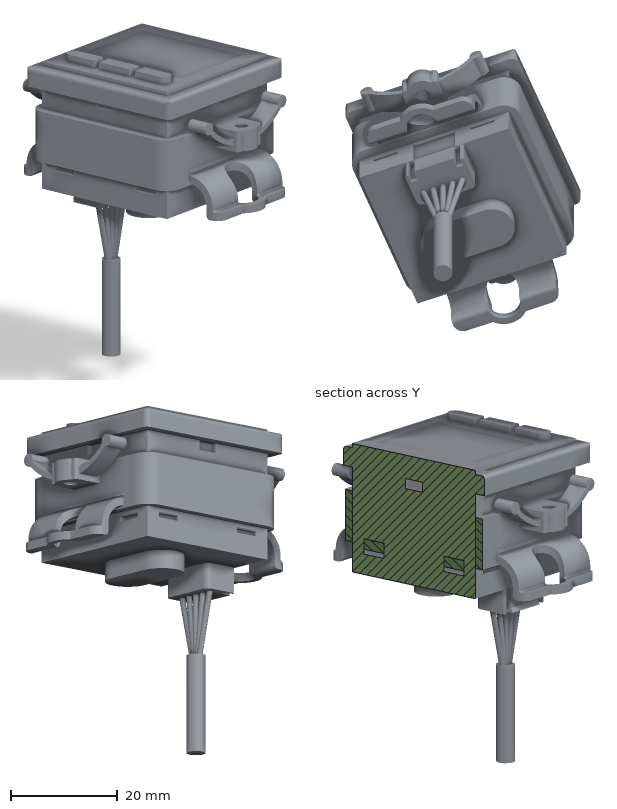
import cadquery as cq
import math


case_side = 30.0
case_bottom_z = -20.4
bezel_side = 34.5
bezel_height = 3.85
bezel_corner_radius = 1.1
bezel_top_radius = 0.85
plate_top_z = 4.65
window_length = 23.9
window_width = 18.2
window_center_y = 2.26
window_depth = 0.1
button_top_z = 6.1
button_length = 7.2
button_width = 2.9
button_pitch = 8.56
button_row_y = -10.68
bezel_notch_width = 4.0
bezel_notch_height = 1.85
notch_depth = 1.0
relief_width = 8.4
relief_depth = 0.55
relief_top_z = -15.35
port_length = 18.2
port_width = 8.5
port_height = 3.5
port_center_x = 2.45

ring_side = 33.7
ring_corner_radius = 3.35
ring_top_z = -4.53
ring_bottom_z = -14.5
ring_face = ring_side / 2
hook_width = 4.8
hook_offset = 9.77
hook_height = 1.0
hook_chamfer = 0.2
hook_recess_height = 1.85
hook_root_height = 1.0
hook_root_z = ring_bottom_z + hook_root_height

overall_length = 50.8
ear_center_x = 20.9
ear_radius = 3.07
ear_hole_diameter = 2.6
ear_width = 7.1
ear_block_end_x = 22.9
ear_corner_radius = 0.6
ear_height = 4.07

leaf_inner_radius = 14.0
leaf_thickness = 1.0
leaf_center_z = 7.1
leaf_near_x = 17.8
leaf_far_x = 21.9
leaf_tip_y = 11.0
root_overlap = 0.9
leaf_tip_radius = 1.2
leaf_root_y = 4.2
leaf_root_top_z = -6.15

foot_width = 21.0
foot_corner_radius = 2.0
foot_end_x = 23.95
foot_thickness = 1.6
bend_outer_radius = 5.5
bend_inner_radius = 4.0
bend_top_z = -12.6
foot_heel_radius = 0.8
foot_crease_radius = 0.4
foot_slot_radius = 3.17
rib_thickness = 0.25
rib_top_z = -11.6
rib_height = 0.45

connector_near_x = -14.95
connector_far_x = -7.98
connector_width = 11.7
connector_height = 4.9
connector_corner_chamfer = 0.25
connector_back_radius = 1.1
latch_width = 7.95
latch_slot_width = 1.2
latch_slot_depth = 1.6
latch_lip_height = 0.85
latch_lip_reach = 0.47
connector_bottom_z = case_bottom_z - connector_height

cable_x = -10.38
wire_count = 5
wire_diameter = 1.1
wire_pitch_at_plug = 1.95
wire_pitch_at_sheath = 0.53
sheath_diameter = 3.55
sheath_top_z = -36.95
sheath_bottom_z = -55.76


def block(x_range, y_range, z_range):
    """Box that fills the given X, Y and Z ranges."""
    size = [high - low for low, high in (x_range, y_range, z_range)]
    corner = (x_range[0], y_range[0], z_range[0])
    return cq.Workplane("XY").box(*size, centered=False).translate(corner)


def square_prism(side, bottom_z, top_z):
    return cq.Workplane("XY").workplane(offset=bottom_z).rect(side, side).extrude(top_z - bottom_z)


def turned(shape, quarter_turns):
    return shape.rotate((0, 0, 0), (0, 0, 1), 90 * quarter_turns)


def face_block(center_x, width, top_z, height):
    """Block set into the -Y face of the case, flush with that face."""
    outer_y = -case_side / 2
    x_range = (center_x - width / 2, center_x + width / 2)
    return block(x_range, (outer_y, outer_y + notch_depth), (top_z - height, top_z))


def hook():
    """Catch that grows inward from the ring wall and hangs below it, flush with the case face."""
    hook_block = face_block(hook_offset, hook_width, hook_root_z, hook_root_height + hook_height)
    return hook_block.edges("<Y and <Z").chamfer(hook_chamfer)


def at_hook_places(shape):
    """Copies of a shape at +hook_offset: two on each of the four case faces."""
    pair = [shape, shape.mirror("YZ")]
    return [turned(item, turns) for item in pair for turns in range(4)]


def button(index):
    """One button; the outer ends of the first and last are full half rounds."""
    center_x = index * button_pitch
    shape = (
        cq.Workplane("XY")
        .workplane(offset=plate_top_z)
        .center(center_x, button_row_y)
        .rect(button_length, button_width)
        .extrude(button_top_z - plate_top_z)
    )
    if index == 0:
        return shape
    end_radius = button_width / 2
    blank_center_x = center_x - index * end_radius / 2
    rounded = (
        cq.Workplane("XY")
        .workplane(offset=plate_top_z)
        .center(blank_center_x, button_row_y)
        .slot2D(button_length + end_radius, button_width)
        .extrude(button_top_z - plate_top_z)
    )
    return shape.intersect(rounded)


def make_housing():
    bezel_block = square_prism(bezel_side, 0, bezel_height)
    bezel = bezel_block.faces(">Z").edges().fillet(bezel_top_radius)
    bezel = bezel.intersect(bezel_block.edges("|Z").fillet(bezel_corner_radius))
    body = square_prism(case_side, case_bottom_z, plate_top_z).union(bezel)

    window = (
        cq.Workplane("XY")
        .workplane(offset=plate_top_z)
        .center(0, window_center_y)
        .rect(window_length, window_width)
        .extrude(-window_depth)
    )
    body = body.cut(window)
    for index in (-1, 0, 1):
        body = body.union(button(index))

    port = (
        cq.Workplane("XY")
        .workplane(offset=case_bottom_z)
        .center(port_center_x, 0)
        .slot2D(port_length, port_width, 90)
        .extrude(-port_height)
    )
    body = body.union(port)

    bezel_notch = face_block(0, bezel_notch_width, 0, bezel_notch_height)
    for turns in range(4):
        body = body.cut(turned(bezel_notch, turns))
    hook_recess = face_block(hook_offset, hook_width, hook_root_z, hook_root_height + hook_recess_height)
    for recess in at_hook_places(hook_recess):
        body = body.cut(recess)

    case_face_x = -case_side / 2
    relief = block(
        (case_face_x, case_face_x + relief_depth),
        (-relief_width / 2, relief_width / 2),
        (case_bottom_z, relief_top_z),
    )
    return body.cut(relief)


def make_ear():
    """Screw ear on the +X side."""
    block_part = block(
        (ring_face, ear_block_end_x), (-ear_width / 2, ear_width / 2), (ring_top_z - ear_height, ring_top_z)
    )
    block_part = block_part.edges("|Z and >X").fillet(ear_corner_radius)
    plane = cq.Workplane("XY").workplane(offset=ring_top_z).center(ear_center_x, 0)
    nose = plane.circle(ear_radius).extrude(-ear_height)
    hole = plane.circle(ear_hole_diameter / 2).extrude(-ear_height)
    return block_part.union(nose).cut(hole)


def make_leaf():
    """Curved leaf spring with a round tip, on the +X +Y side of the ear."""
    outer_radius = leaf_inner_radius + leaf_thickness
    middle_radius = leaf_inner_radius + leaf_thickness / 2
    ear_side_angle = math.asin(ear_width / 2 / middle_radius)
    end_angle = math.asin(leaf_tip_y / middle_radius)

    def on_arc(radius, angle):
        return radius * math.sin(angle), leaf_center_z - radius * math.cos(angle)

    root_angle = root_overlap * ear_side_angle
    middle_angle = (root_angle + end_angle) / 2
    plane = cq.Workplane("YZ").workplane(offset=leaf_near_x)
    leaf_width = leaf_far_x - leaf_near_x
    strip = (
        plane.moveTo(*on_arc(outer_radius, root_angle))
        .threePointArc(on_arc(outer_radius, middle_angle), on_arc(outer_radius, end_angle))
        .lineTo(*on_arc(leaf_inner_radius, end_angle))
        .threePointArc(on_arc(leaf_inner_radius, middle_angle), on_arc(leaf_inner_radius, root_angle))
        .close()
        .extrude(leaf_width)
    )
    tip = plane.center(*on_arc(middle_radius, end_angle)).circle(leaf_tip_radius).extrude(leaf_width)
    root_bottom_z = leaf_center_z - math.sqrt(middle_radius**2 - leaf_root_y**2)
    root = block(
        (leaf_near_x, leaf_far_x), (ear_width / 2, leaf_root_y), (root_bottom_z, leaf_root_top_z)
    )
    return strip.union(tip).union(root)


def make_rib():
    """Thin rib across the +X face of the ring, just above the foot."""
    half_width = foot_width / 2
    x_range = (ring_face, ring_face + rib_thickness)
    return block(x_range, (-half_width, half_width), (rib_top_z - rib_height, rib_top_z))


def make_foot():
    """Bent foot on the +X side: a quarter bend and a flat end with a round bump."""
    bend_center_z = bend_top_z - bend_outer_radius
    wall_outer_x = ring_face + bend_outer_radius
    wall_inner_x = ring_face + bend_inner_radius
    foot_top_z = case_bottom_z + foot_thickness
    half_width = foot_width / 2
    half_turn = math.sin(math.pi / 4)
    tip_x = overall_length / 2

    bend = (
        cq.Workplane("XZ")
        .moveTo(ring_face, bend_top_z)
        .threePointArc(
            (ring_face + bend_outer_radius * half_turn, bend_center_z + bend_outer_radius * half_turn),
            (wall_outer_x, bend_center_z),
        )
        .lineTo(wall_outer_x, foot_top_z + foot_crease_radius)
        .radiusArc((wall_outer_x + foot_crease_radius, foot_top_z), -foot_crease_radius)
        .lineTo(tip_x, foot_top_z)
        .lineTo(tip_x, case_bottom_z)
        .lineTo(wall_inner_x + foot_heel_radius, case_bottom_z)
        .radiusArc((wall_inner_x, case_bottom_z + foot_heel_radius), foot_heel_radius)
        .lineTo(wall_inner_x, bend_center_z)
        .threePointArc(
            (ring_face + bend_inner_radius * half_turn, bend_center_z + bend_inner_radius * half_turn),
            (ring_face, bend_center_z + bend_inner_radius),
        )
        .close()
        .extrude(half_width, both=True)
    )
    z_range = (case_bottom_z, bend_top_z)
    plan = block((ring_face, foot_end_x), (-half_width, half_width), z_range)
    plan = plan.edges("|Z and >X").fillet(foot_corner_radius)
    plane = cq.Workplane("XY").workplane(offset=case_bottom_z).center(ear_center_x, 0)
    height = bend_top_z - case_bottom_z
    bump = plane.circle(tip_x - ear_center_x).extrude(height)
    slot = plane.circle(foot_slot_radius).extrude(height)
    return bend.intersect(plan.union(bump)).cut(slot)


def make_ring():
    frame = square_prism(ring_side, ring_bottom_z, ring_top_z)
    frame = frame.edges("|Z").fillet(ring_corner_radius)
    frame = frame.cut(square_prism(case_side, ring_bottom_z, ring_top_z))

    for catch in at_hook_places(hook()):
        frame = frame.union(catch)

    leaf = make_leaf()
    for part in (make_ear(), leaf, leaf.mirror("XZ"), make_foot(), make_rib()):
        frame = frame.union(part).union(part.mirror("YZ"))
    return frame


def make_connector():
    half_width = connector_width / 2
    z_range = (connector_bottom_z, case_bottom_z)
    plug = block((connector_near_x, connector_far_x), (-half_width, half_width), z_range)
    plug = plug.edges("|Z and >X").fillet(connector_back_radius)
    plug = plug.edges("|Z and <X").chamfer(connector_corner_chamfer)

    slot_start_y = latch_width / 2
    slot = block(
        (connector_near_x, connector_near_x + latch_slot_depth),
        (slot_start_y, slot_start_y + latch_slot_width),
        z_range,
    )
    plug = plug.cut(slot).cut(slot.mirror("XZ"))

    lip = (
        cq.Workplane("XZ")
        .moveTo(connector_near_x, connector_bottom_z)
        .lineTo(connector_near_x - latch_lip_reach, connector_bottom_z)
        .lineTo(connector_near_x, connector_bottom_z + latch_lip_height)
        .close()
        .extrude(latch_width / 2, both=True)
    )
    return plug.union(lip)


def make_cable():
    cable = (
        cq.Workplane("XY")
        .workplane(offset=sheath_bottom_z)
        .center(cable_x, 0)
        .circle(sheath_diameter / 2)
        .extrude(sheath_top_z - sheath_bottom_z)
    )
    for index in range(wire_count):
        step = index - (wire_count - 1) / 2
        wire = (
            cq.Workplane("XY")
            .workplane(offset=sheath_top_z)
            .center(cable_x, step * wire_pitch_at_sheath)
            .circle(wire_diameter / 2)
            .workplane(offset=connector_bottom_z - sheath_top_z)
            .center(0, step * (wire_pitch_at_plug - wire_pitch_at_sheath))
            .circle(wire_diameter / 2)
            .loft(ruled=True)
        )
        cable = cable.union(wire)
    return cable


housing = make_housing().solids()
ring = make_ring().solids()
connector = make_connector().solids()
cable = make_cable().solids()

result = cq.Compound.makeCompound([housing.val(), ring.val(), connector.val(), cable.val()])